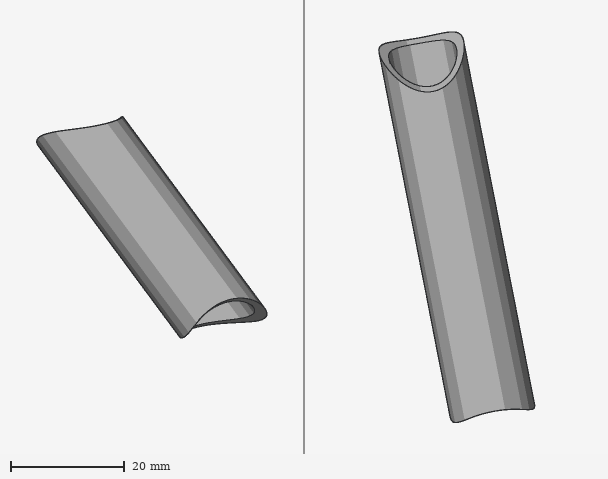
import cadquery as cq
import math

length = 75.1
outer_radius = 7.5
wall = 1.5
left_saddle_radius = 13.0
right_saddle_radius = 10.0
tilt = math.radians(45)

inner_radius = outer_radius - wall
cutter_length = 2 * length
axis_direction = cq.Vector(math.cos(tilt), 0, math.sin(tilt))
outward_left = cq.Vector(-math.sin(tilt), 0, math.cos(tilt))
end_inset = outer_radius / math.tan(tilt)
left_point = cq.Vector(end_inset, 0, 0)
right_point = cq.Vector(length - end_inset, 0, 0)


def saddle_cutter(touch_point, outward, radius):
    """Inclined cylinder whose surface passes through touch_point."""
    start = touch_point + outward * radius - axis_direction * (cutter_length / 2)
    return cq.Workplane(obj=cq.Solid.makeCylinder(radius, cutter_length, start, axis_direction))


tube = cq.Workplane("YZ").circle(outer_radius).circle(inner_radius).extrude(length)
left_cutter = saddle_cutter(left_point, outward_left, left_saddle_radius)
right_cutter = saddle_cutter(right_point, outward_left * -1, right_saddle_radius)
result = tube.cut(left_cutter).cut(right_cutter)